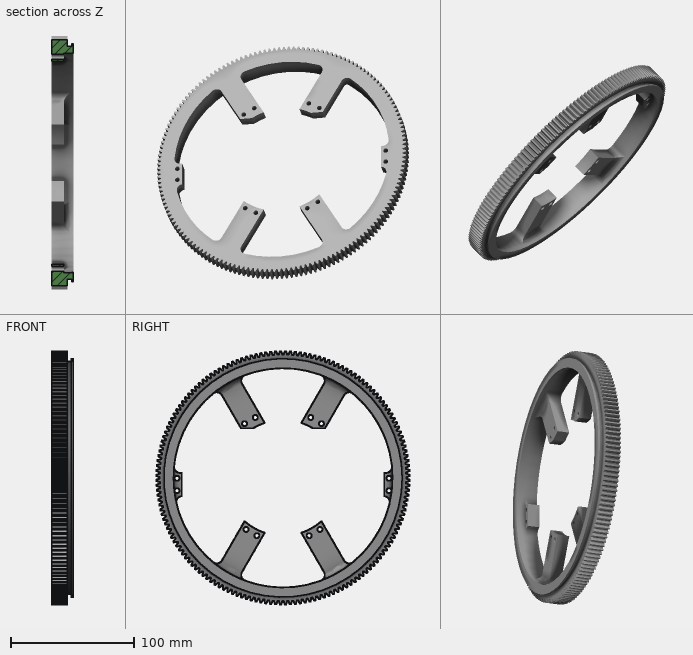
import cadquery as cq
import math


TOOTH_COUNT = 160
TIP_RADIUS = 102.9
MODULE = 2 * TIP_RADIUS / (TOOTH_COUNT + 2)
PITCH_RADIUS = MODULE * TOOTH_COUNT / 2
ROOT_RADIUS = PITCH_RADIUS - 1.25 * MODULE
PRESSURE_ANGLE = math.radians(20)
BASE_RADIUS = PITCH_RADIUS * math.cos(PRESSURE_ANGLE)

GEAR_WIDTH = 12.8
FLANGE_START = 16.0
TOTAL_WIDTH = 17.7
WEB_THICKNESS = 10.0

HUB_RADIUS = 94.6
FLANGE_RADIUS = 96.7
BORE_RADIUS = 88.9

SPOKE_WIDTH = 19.0
SPOKE_ANGLE = 60
SPOKE_END_RADIUS = 47.0
UPPER_SPOKE_FLAT_Z = 40.1
PAD_INNER_Y = 82.0
PAD_CENTER_Z = -5.3
CORNER_RADIUS = 5.0
ROOT_FILLET = 5.0

ROOT_BACK = WEB_THICKNESS + ROOT_FILLET

HOLE_DIAMETER = 4.0
HOLE_SPACING = 10.0
UPPER_HOLE_RADIUS = 53.7
LOWER_HOLE_RADIUS = 51.2
PAD_HOLE_Y = 86.0


def polar(radius, angle):
    return (radius * math.cos(angle), radius * math.sin(angle))


def tooth_half_angle(radius):
    """Half the angle an involute tooth spans at the given radius."""
    def involute(pressure):
        return math.tan(pressure) - pressure

    pressure_here = math.acos(BASE_RADIUS / radius)
    return math.pi / (2 * TOOTH_COUNT) + involute(PRESSURE_ANGLE) - involute(pressure_here)


def disc(radius, start, end):
    return cq.Workplane("YZ").workplane(offset=start).circle(radius).extrude(end - start)


def toothed_disc():
    """Disc with a tooth gap centred on the Y and Z axes."""
    pitch_angle = 2 * math.pi / TOOTH_COUNT
    root_half = tooth_half_angle(ROOT_RADIUS)
    pitch_half = tooth_half_angle(PITCH_RADIUS)
    tip_half = tooth_half_angle(TIP_RADIUS)
    outline = cq.Workplane("YZ").moveTo(*polar(ROOT_RADIUS, pitch_angle / 2 - root_half))
    for tooth in range(TOOTH_COUNT):
        center = (tooth + 0.5) * pitch_angle
        gap_center = center + pitch_angle / 2
        next_root = center + pitch_angle - root_half
        outline = (
            outline
            .threePointArc(polar(PITCH_RADIUS, center - pitch_half), polar(TIP_RADIUS, center - tip_half))
            .threePointArc(polar(TIP_RADIUS, center), polar(TIP_RADIUS, center + tip_half))
            .threePointArc(polar(PITCH_RADIUS, center + pitch_half), polar(ROOT_RADIUS, center + root_half))
            .threePointArc(polar(ROOT_RADIUS, gap_center), polar(ROOT_RADIUS, next_root))
        )
    return outline.close().extrude(GEAR_WIDTH)


def ring():
    """Toothed rim, stepped hub and retaining flange around a plain bore."""
    body = toothed_disc()
    body = body.union(disc(HUB_RADIUS, GEAR_WIDTH, FLANGE_START))
    body = body.union(disc(FLANGE_RADIUS, FLANGE_START, TOTAL_WIDTH))
    return body.cut(disc(BORE_RADIUS, 0, TOTAL_WIDTH))


def spoke_bar(angle):
    """Straight bar from the axis out past the bore."""
    return (
        cq.Workplane("XY")
        .box(ROOT_BACK, ROOT_RADIUS, SPOKE_WIDTH, centered=(False, False, True))
        .rotate((0, 0, 0), (1, 0, 0), angle)
    )


def pad_bar():
    """Bar across the whole bore; its two ends become the side pads."""
    return (
        cq.Workplane("XY")
        .box(ROOT_BACK, 2 * ROOT_RADIUS, SPOKE_WIDTH, centered=(False, True, True))
        .translate((0, 0, PAD_CENTER_Z))
    )


def is_at_bore(edge):
    center = edge.Center()
    return math.hypot(center.y, center.z) > BORE_RADIUS - CORNER_RADIUS


def web():
    """Four spokes and two pads inside the bore, with rounded root corners."""
    openings = disc(BORE_RADIUS, 0, ROOT_BACK).cut(pad_bar())
    for angle in (SPOKE_ANGLE, 180 - SPOKE_ANGLE, -SPOKE_ANGLE, SPOKE_ANGLE - 180):
        openings = openings.cut(spoke_bar(angle))
    openings = openings.edges("|X").filter(is_at_bore).fillet(CORNER_RADIUS)

    middle_bottom = PAD_CENTER_Z - SPOKE_WIDTH
    middle_height = UPPER_SPOKE_FLAT_Z - middle_bottom
    middle = (
        cq.Workplane("XY")
        .box(ROOT_BACK, 2 * PAD_INNER_Y, middle_height, centered=(False, True, False))
        .translate((0, 0, middle_bottom))
        .union(disc(SPOKE_END_RADIUS, 0, ROOT_BACK))
    )

    recess = disc(BORE_RADIUS, WEB_THICKNESS, TOTAL_WIDTH).edges("<X").fillet(ROOT_FILLET)
    pad_recess = (
        cq.Workplane("XY")
        .box(ROOT_FILLET, 2 * BORE_RADIUS, middle_height, centered=(False, True, False))
        .translate((WEB_THICKNESS, 0, middle_bottom))
    )
    blank = disc(BORE_RADIUS, 0, ROOT_BACK)
    return blank.cut(openings).cut(middle).cut(recess).cut(pad_recess)


def hole_pair(center_y, center_z, line_angle):
    """Two through pins whose centre line is tilted from +Y by line_angle degrees."""
    return (
        cq.Workplane("YZ")
        .pushPoints([(-HOLE_SPACING / 2, 0), (HOLE_SPACING / 2, 0)])
        .circle(HOLE_DIAMETER / 2)
        .extrude(TOTAL_WIDTH)
        .rotate((0, 0, 0), (1, 0, 0), line_angle)
        .translate((0, center_y, center_z))
    )


def mounting_holes():
    pins = cq.Workplane("YZ")
    for side in (-1, 1):
        for radius, angle in ((UPPER_HOLE_RADIUS, SPOKE_ANGLE), (LOWER_HOLE_RADIUS, -SPOKE_ANGLE)):
            y, z = polar(radius, math.radians(angle))
            pins = pins.union(hole_pair(side * y, z, side * angle + 90))
        pins = pins.union(hole_pair(side * PAD_HOLE_Y, PAD_CENTER_Z, 90))
    return pins


result = ring().union(web()).cut(mounting_holes())